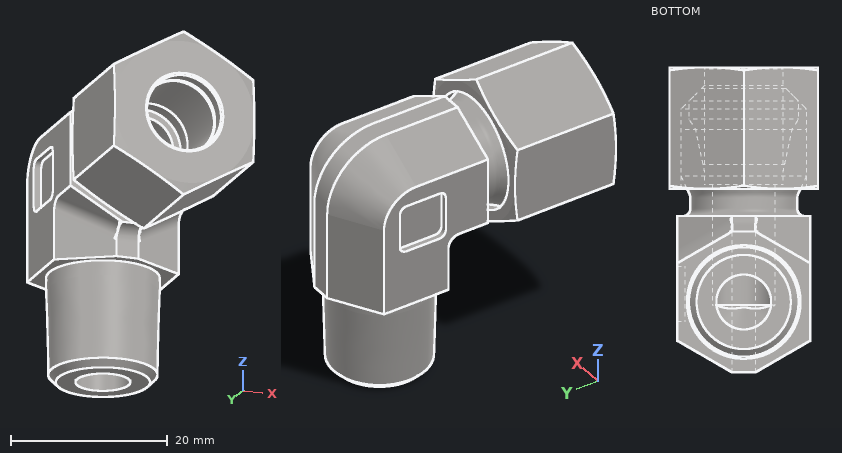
import cadquery as cq
import math


BLOCK_WIDTH = 17.0
BLOCK_REACH = 9.0
FLAT_WIDTH = 2.95
SLOPE_ANGLE = 30
TUBE_LEG_END = 11.0
PIPE_LEG_END = 13.0
CROTCH_RADIUS = 1.95

PIPE_END = 27.0
PIPE_COLLAR_LENGTH = 2.0
PIPE_DIAMETER = 14.53
PIPE_TIP_DIAMETER = 14.0
PIPE_CHAMFER = 0.97

THREAD_DIAMETER = 16.0
NECK_DIAMETER = 13.7
NECK_FILLET = 0.9
NECK_END = 13.3
RUNOUT_ANGLE = 25
RUNOUT_CURVE_LENGTH = 0.6
SPIGOT_END = 22.0

PIPE_BORE = 7
PIPE_BORE_TOP = 1.8
TUBE_BORE = 8.0
TUBE_BORE_BACK = 0.4
DRILL_ANGLE = 118
TUBE_DIAMETER = 10.0
SOCKET_BOTTOM = 15.0
SEAT_DIAMETER = 12.3
SEAT_ANGLE = 24

PANEL_SIZE = 7
PANEL_RADIUS = 0.97
PANEL_DEPTH = 1.0
PANEL_OFFSET = -1.0

NUT_WIDTH = 19.0
NUT_BACK = 14.45
NUT_FRONT = 29.95
NUT_CHAMFER_ANGLE = 15
NUT_BORE = 10.05
NUT_MOUTH_CHAMFER = 0.25
NUT_LIP = 2.35

RING_GAP = 0.4
RING_DIAMETER = 14.02
RING_SHOULDER = 23.37
RING_NOSE = 17.53

TOLERANCE = 0.0005

nut_lip_end = NUT_FRONT - NUT_LIP
ring_front = nut_lip_end - RING_GAP
seat_slope = math.tan(math.radians(SEAT_ANGLE / 2))
seat_depth = (SEAT_DIAMETER - TUBE_DIAMETER) / 2 / seat_slope


def turned_on_tube_axis(points):
    """Revolve an outline of (radius, distance toward -Y) points about the Y axis."""
    outline = cq.Workplane("XY").polyline([(radius, -distance) for radius, distance in points]).close()
    return outline.revolve(360, (0, 0, 0), (0, 1, 0))


def turned_on_pipe_axis(points):
    """Revolve an outline of (radius, z) points about the Z axis."""
    return cq.Workplane("XZ").polyline(points).close().revolve(360, (0, 0, 0), (0, 1, 0))


def section_top():
    """Upper half of the block section, as points across the width."""
    half_width = BLOCK_WIDTH / 2
    half_flat = FLAT_WIDTH / 2
    shoulder = BLOCK_REACH - (half_width - half_flat) * math.tan(math.radians(SLOPE_ANGLE))
    return [(-half_width, shoulder), (-half_flat, BLOCK_REACH), (half_flat, BLOCK_REACH), (half_width, shoulder)]


def leg(plane, length):
    lower = [(-x, -y) for x, y in section_top()]
    return cq.Workplane(plane).polyline(section_top() + lower).close().extrude(length)


def elbow_block():
    half_width = BLOCK_WIDTH / 2
    bend_outline = [(-half_width, 0), *section_top(), (half_width, 0)]
    bend = cq.Workplane("XY").polyline(bend_outline).close().revolve(360, (0, 0, 0), (1, 0, 0))
    block = leg("XZ", TUBE_LEG_END).union(leg("XY", -PIPE_LEG_END)).union(bend)
    inner_side = cq.selectors.BoxSelector(
        (-BLOCK_WIDTH, -BLOCK_REACH - 0.4, -BLOCK_REACH - 0.4), (BLOCK_WIDTH, -0.4, -0.4)
    )
    crotch_edges = [
        edge for edge in block.edges(inner_side).vals()
        if all(abs(point.y - point.z) < TOLERANCE for point in (edge.startPoint(), edge.endPoint()))
    ]
    return block.newObject(crotch_edges).fillet(CROTCH_RADIUS)


def pipe_end():
    radius = PIPE_DIAMETER / 2
    tip_radius = PIPE_TIP_DIAMETER / 2
    return turned_on_pipe_axis([
        (0, -PIPE_LEG_END),
        (radius, -PIPE_LEG_END),
        (radius, -PIPE_LEG_END - PIPE_COLLAR_LENGTH),
        (tip_radius, -PIPE_END + PIPE_CHAMFER),
        (tip_radius - PIPE_CHAMFER, -PIPE_END),
        (0, -PIPE_END),
    ])


def spigot():
    neck_radius = NECK_DIAMETER / 2
    thread_radius = THREAD_DIAMETER / 2
    angle = math.radians(RUNOUT_ANGLE)
    curve_radius = RUNOUT_CURVE_LENGTH / math.sin(angle)
    curve_middle = (
        neck_radius + curve_radius * (1 - math.cos(angle / 2)),
        -NECK_END - curve_radius * math.sin(angle / 2),
    )
    cone_start_radius = neck_radius + curve_radius * (1 - math.cos(angle))
    cone_start = NECK_END + RUNOUT_CURVE_LENGTH
    cone_end = cone_start + (thread_radius - cone_start_radius) / math.tan(angle)
    fillet_end = TUBE_LEG_END + NECK_FILLET
    fillet_drop = NECK_FILLET * (1 - math.sqrt(0.5))
    outline = (
        cq.Workplane("XY")
        .moveTo(0, -TUBE_LEG_END)
        .lineTo(neck_radius + NECK_FILLET, -TUBE_LEG_END)
        .threePointArc((neck_radius + fillet_drop, -TUBE_LEG_END - fillet_drop), (neck_radius, -fillet_end))
        .lineTo(neck_radius, -NECK_END)
        .threePointArc(curve_middle, (cone_start_radius, -cone_start))
        .lineTo(thread_radius, -cone_end)
        .lineTo(thread_radius, -SPIGOT_END)
        .lineTo(0, -SPIGOT_END)
        .close()
    )
    return outline.revolve(360, (0, 0, 0), (0, 1, 0))


def drill_tip(diameter):
    return diameter / 2 / math.tan(math.radians(DRILL_ANGLE / 2))


def pipe_bore():
    radius = PIPE_BORE / 2
    return turned_on_pipe_axis([
        (0, -PIPE_END),
        (radius, -PIPE_END),
        (radius, PIPE_BORE_TOP),
        (0, PIPE_BORE_TOP + drill_tip(PIPE_BORE)),
    ])


def tube_bore():
    radius = TUBE_BORE / 2
    tube_radius = TUBE_DIAMETER / 2
    return turned_on_tube_axis([
        (0, -TUBE_BORE_BACK - drill_tip(TUBE_BORE)),
        (radius, -TUBE_BORE_BACK),
        (radius, SOCKET_BOTTOM),
        (tube_radius, SOCKET_BOTTOM),
        (tube_radius, SPIGOT_END - seat_depth),
        (SEAT_DIAMETER / 2, SPIGOT_END),
        (0, SPIGOT_END),
    ])


def panel_recess():
    return (
        cq.Workplane("YZ", origin=(-BLOCK_WIDTH / 2, 0, 0))
        .center(PANEL_OFFSET, PANEL_OFFSET)
        .rect(PANEL_SIZE, PANEL_SIZE)
        .extrude(PANEL_DEPTH)
        .edges("|X")
        .fillet(PANEL_RADIUS)
    )


def make_elbow():
    solid = elbow_block().union(pipe_end()).union(spigot())
    return solid.cut(pipe_bore()).cut(tube_bore()).cut(panel_recess())


def make_nut():
    corner_radius = NUT_WIDTH / math.sqrt(3)
    flat_radius = NUT_WIDTH / 2
    corners = [
        (corner_radius * math.sin(math.radians(60 * i)), corner_radius * math.cos(math.radians(60 * i)))
        for i in range(6)
    ]
    hexagon = cq.Workplane("XZ", origin=(0, -NUT_BACK, 0)).polyline(corners).close().extrude(NUT_FRONT - NUT_BACK)
    chamfer = (corner_radius - flat_radius) * math.tan(math.radians(NUT_CHAMFER_ANGLE))
    chamfer_envelope = turned_on_tube_axis([
        (0, NUT_BACK),
        (flat_radius, NUT_BACK),
        (corner_radius, NUT_BACK + chamfer),
        (corner_radius, NUT_FRONT - chamfer),
        (flat_radius, NUT_FRONT),
        (0, NUT_FRONT),
    ])
    bore_radius = NUT_BORE / 2
    thread_radius = THREAD_DIAMETER / 2
    cavity = turned_on_tube_axis([
        (0, NUT_BACK),
        (thread_radius, NUT_BACK),
        (thread_radius, nut_lip_end - (thread_radius - bore_radius)),
        (bore_radius, nut_lip_end),
        (bore_radius, NUT_FRONT - NUT_MOUTH_CHAMFER),
        (bore_radius + NUT_MOUTH_CHAMFER, NUT_FRONT),
        (0, NUT_FRONT),
    ])
    return hexagon.intersect(chamfer_envelope).cut(cavity)


def make_cutting_ring():
    inner_radius = TUBE_DIAMETER / 2
    front_radius = NUT_BORE / 2 + RING_GAP
    outer_radius = RING_DIAMETER / 2
    nose_radius = SEAT_DIAMETER / 2 - (SPIGOT_END - RING_NOSE) * seat_slope
    return turned_on_tube_axis([
        (inner_radius, ring_front),
        (front_radius, ring_front),
        (outer_radius, ring_front - (outer_radius - front_radius)),
        (outer_radius, RING_SHOULDER),
        (SEAT_DIAMETER / 2, SPIGOT_END),
        (nose_radius, RING_NOSE),
        (inner_radius, RING_NOSE),
    ])


elbow = make_elbow()
nut = make_nut()
cutting_ring = make_cutting_ring()

result = cq.Compound.makeCompound([elbow.val(), nut.val(), cutting_ring.val()])